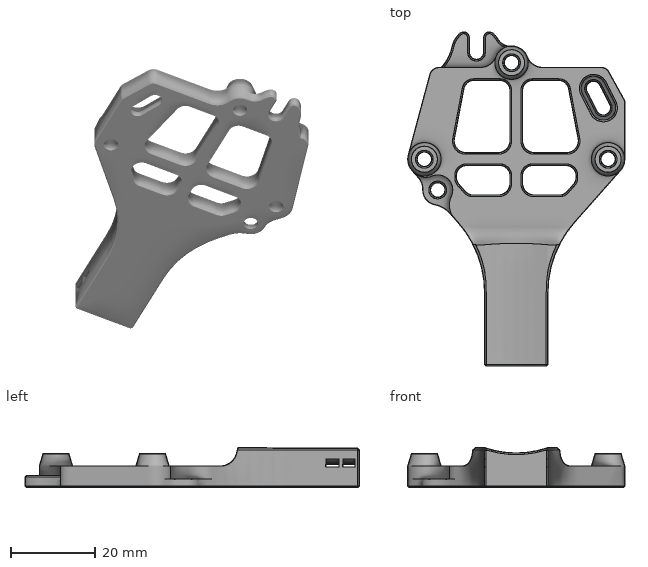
import cadquery as cq
import math

width = 51.6
length = 79.4
beyond_part = 87.35
total_height = 9.45
plate_thickness = 5.1
bottom_chamfer = 0.3
end_chamfer = 0.4
side_chamfer = 0.55
opening_chamfer = 0.4
hole_diameter = 3.4

post_base_radius = 4.0
post_top_radius = 3.1
post_top = 8.0
side_post_x = width / 2 - post_base_radius
side_post_y = 49.15
head_post_x = -1.1
head_post_y = 72.1
post_centres = [(-side_post_x, side_post_y), (side_post_x, side_post_y), (head_post_x, head_post_y)]

plate_top = 71.0
shoulder_angle = math.radians(48.3)
left_edge_angle = math.radians(75)
left_corner_radius = 2.4
right_corner_radius = 2.0
right_bevel_start = 63.05
right_bevel_angle = math.radians(61)
head_fillet = 4.0

handle_width = 15.1
handle_flare_start = 17.5
handle_flare_radius = 25.2
step_y = 28.8
step_lean = math.radians(15)
step_radius = 4.0
grip_sag = 1.3
strap_slot_bottom = 4.85
strap_slot_height = 1.9
strap_slots = [(1.0, 3.9), (4.85, 7.95)]

ear_x = -18.7
ear_y = 41.85
ear_radius = 3.6
ear_thickness = 2.0
ear_upper_fillet = 4.1
ear_lower_fillet = 6.75
recess_upper_round = 4.0
recess_lower_round = 4.8

fork_x = -9.45
fork_radius = 5.95
fork_thickness = 2.85
fork_root_depth = 0.8
fork_tip_radius = 1.35
fork_tip_rise = fork_tip_radius + math.sqrt(
    (fork_radius - fork_tip_radius) ** 2 - (hole_diameter / 2 + fork_tip_radius) ** 2
)
fork_y = length - fork_tip_rise
fork_head_fillet = 3.2
fork_flare_radius = 10.3
fork_flare_angle = math.radians(168)

rib_half_width = 1.5
window_radius = 2.4
window_bottom_radius = 2.8
upper_window_bottom = 50.75
upper_window_top = 67.9
upper_window_bottom_x = 15.3
upper_window_top_x = 12.1
lower_window_bottom = 40.65
lower_window_top = 47.65
lower_window_side_x = 14.2
lower_window_bevel = 2.85

oblique_x = 19.5
oblique_y = 63.7
oblique_travel = 5.2
oblique_angle = -63.0
oblique_recess_width = 5.9
oblique_floor = 2.0


def polar(centre, radius, angle):
    return (centre[0] + radius * math.cos(angle), centre[1] + radius * math.sin(angle))


def round_corner(solid, point, radius):
    """Fillet the upright edge of a solid whose middle lies nearest to a point."""
    edge = solid.edges("|Z").edges(cq.selectors.NearestToPointSelector(point))
    return edge.fillet(radius)


def disc(centre, radius, height):
    return cq.Workplane("XY").center(*centre).circle(radius).extrude(height)


def flared_cutter(profile, bottom, top):
    """Prism of a closed wire drawn at Z = 0, its mouth widened at 45 degrees up to the top."""
    wire = profile.wires().val()
    prism = cq.Workplane("XY").add(wire).toPending().extrude(top - bottom)
    mouth = cq.Workplane("XY").add(wire.offset2D(opening_chamfer)[0]).toPending()
    mouth = mouth.extrude(opening_chamfer, taper=45)
    mouth = mouth.mirror("XY").translate((0, 0, top - bottom))
    return prism.union(mouth).translate((0, 0, bottom))


def window_profile(corners):
    """Closed outline through (x, y, radius) corners, each rounded to its radius."""
    prism = cq.Workplane("XY").polyline([(x, y) for x, y, _ in corners]).close().extrude(plate_thickness)
    for x, y, radius in corners:
        prism = round_corner(prism, (x, y, plate_thickness / 2), radius)
    return prism.faces("<Z")


def make_blank():
    """Full-height prism of the handle and plate outline, with the head boss blended in."""
    half_handle = handle_width / 2
    turn = math.pi / 2 - shoulder_angle
    flare_centre = (half_handle + handle_flare_radius, handle_flare_start)
    flare_middle = polar(flare_centre, handle_flare_radius, math.pi - turn / 2)
    flare_end = polar(flare_centre, handle_flare_radius, math.pi - turn)
    right_post = (side_post_x, side_post_y)
    left_post = (-side_post_x, side_post_y)
    shoulder_end = polar(right_post, post_base_radius, -turn)
    shoulder_middle = polar(right_post, post_base_radius, -turn / 2)
    left_start_angle = math.pi / 2 + left_edge_angle
    left_edge_start = polar(left_post, post_base_radius, left_start_angle)
    left_arc_middle = polar(left_post, post_base_radius, (left_start_angle + math.pi + turn) / 2)
    bevel_x = width / 2 - (plate_top - right_bevel_start) / math.tan(right_bevel_angle)
    left_top_x = left_edge_start[0] + (plate_top - left_edge_start[1]) / math.tan(left_edge_angle)

    def mirrored(point):
        return (-point[0], point[1])

    outline = (
        cq.Workplane("XY")
        .moveTo(-half_handle, 0)
        .lineTo(half_handle, 0)
        .lineTo(half_handle, handle_flare_start)
        .threePointArc(flare_middle, flare_end)
        .lineTo(*shoulder_end)
        .threePointArc(shoulder_middle, (width / 2, side_post_y))
        .lineTo(width / 2, right_bevel_start)
        .lineTo(bevel_x, plate_top)
        .lineTo(left_top_x, plate_top)
        .lineTo(*left_edge_start)
        .threePointArc(left_arc_middle, mirrored(shoulder_end))
        .lineTo(*mirrored(flare_end))
        .threePointArc(mirrored(flare_middle), (-half_handle, handle_flare_start))
        .close()
    )
    blank = outline.extrude(total_height)
    middle = total_height / 2
    blank = round_corner(blank, (bevel_x, plate_top, middle), right_corner_radius)
    blank = round_corner(blank, (left_top_x, plate_top, middle), left_corner_radius)

    blank = blank.union(disc((head_post_x, head_post_y), post_base_radius, total_height))
    reach = math.sqrt(post_base_radius**2 - (head_post_y - plate_top) ** 2)
    for side in (-1, 1):
        blank = round_corner(blank, (head_post_x + side * reach, plate_top, middle), head_fillet)
    return blank


def lower_to_plate(blank):
    """Remove the stock above the plate, leaving a concave step up to the handle."""
    rise = total_height - plate_thickness
    turn = math.pi / 2 - step_lean
    run = rise * math.tan(step_lean) + step_radius * math.tan(turn / 2)
    arc_centre = (step_y + run, plate_thickness + step_radius)
    arc_start = polar(arc_centre, step_radius, math.pi + step_lean)
    arc_middle = polar(arc_centre, step_radius, math.pi + step_lean + turn / 2)
    cutter = (
        cq.Workplane("YZ")
        .moveTo(step_y, total_height)
        .lineTo(*arc_start)
        .threePointArc(arc_middle, (arc_centre[0], plate_thickness))
        .lineTo(beyond_part, plate_thickness)
        .lineTo(beyond_part, total_height)
        .close()
        .extrude(width, both=True)
    )
    lowered = blank.cut(cutter)
    side_edges = lowered.faces(">Z").edges("not(<Y or >Y)")
    return side_edges.chamfer(side_chamfer)


def add_ear(body):
    """Join the thin ear to the left shoulder and clear the plate above it."""
    along = (-math.cos(shoulder_angle), math.sin(shoulder_angle))
    outward = (-math.sin(shoulder_angle), -math.cos(shoulder_angle))
    beyond_post = (ear_x + side_post_x) * outward[0] + (ear_y - side_post_y) * outward[1]
    depth = post_base_radius - beyond_post
    reach = math.sqrt(ear_radius**2 - depth**2)
    foot = (ear_x + depth * outward[0], ear_y + depth * outward[1])
    upper_corner = (foot[0] + reach * along[0], foot[1] + reach * along[1])
    lower_corner = (foot[0] - reach * along[0], foot[1] - reach * along[1])

    ear_disc = disc((ear_x, ear_y), ear_radius, ear_thickness)
    lower_layer = body.intersect(disc((0, 0), beyond_part, ear_thickness)).union(ear_disc)
    lower_layer = round_corner(lower_layer, (*upper_corner, ear_thickness / 2), ear_upper_fillet)
    lower_layer = round_corner(lower_layer, (*lower_corner, ear_thickness / 2), ear_lower_fillet)

    recess = disc((ear_x, ear_y), ear_radius, total_height)
    upper_layer = body.cut(disc((0, 0), beyond_part, ear_thickness)).cut(recess)
    recess_middle = (ear_thickness + plate_thickness) / 2
    upper_layer = round_corner(upper_layer, (*upper_corner, recess_middle), recess_upper_round)
    upper_layer = round_corner(upper_layer, (*lower_corner, recess_middle), recess_lower_round)
    return upper_layer.union(lower_layer)


def make_fork():
    """Slotted disc with a flared left flank, blended into the head boss."""
    fork_centre = (fork_x, fork_y)
    flare_start = polar(fork_centre, fork_radius, fork_flare_angle)
    flare_centre = polar(fork_centre, fork_radius + fork_flare_radius, fork_flare_angle)
    flare_end_angle = math.asin((plate_top - flare_centre[1]) / fork_flare_radius)
    flare_end = polar(flare_centre, fork_flare_radius, flare_end_angle)
    flare_middle_angle = (flare_end_angle + fork_flare_angle - math.pi) / 2
    flare_middle = polar(flare_centre, fork_flare_radius, flare_middle_angle)
    flank = (
        cq.Workplane("XY")
        .moveTo(*flare_start)
        .threePointArc(flare_middle, flare_end)
        .lineTo(flare_end[0], plate_top - fork_root_depth)
        .lineTo(fork_x, plate_top - fork_root_depth)
        .lineTo(*fork_centre)
        .close()
        .extrude(fork_thickness)
    )
    head_centre = (head_post_x, head_post_y)
    fork = disc(fork_centre, fork_radius, fork_thickness).union(flank)
    fork = fork.union(disc(head_centre, post_base_radius, fork_thickness))

    span = math.dist(fork_centre, head_centre)
    direction = math.atan2(head_post_y - fork_y, head_post_x - fork_x)
    to_chord = (span**2 + fork_radius**2 - post_base_radius**2) / (2 * span)
    notch = polar(fork_centre, fork_radius, direction + math.acos(to_chord / fork_radius))
    middle = fork_thickness / 2
    fork = round_corner(fork, (*notch, middle), fork_head_fillet)

    half_slot = hole_diameter / 2
    slot = disc(fork_centre, half_slot, fork_thickness)
    slot = slot.union(
        cq.Workplane("XY")
        .center(fork_x, fork_y + fork_radius / 2)
        .rect(hole_diameter, fork_radius)
        .extrude(fork_thickness)
    )
    fork = fork.cut(slot)
    tip_y = fork_y + math.sqrt(fork_radius**2 - half_slot**2)
    for side in (-1, 1):
        fork = round_corner(fork, (fork_x + side * half_slot, tip_y, middle), fork_tip_radius)
    return fork.faces(">Z").edges().chamfer(opening_chamfer)


def make_post(centre):
    """Cone frustum standing on the plate."""
    return (
        cq.Workplane("XY", origin=(*centre, plate_thickness))
        .circle(post_base_radius)
        .workplane(offset=post_top - plate_thickness)
        .circle(post_top_radius)
        .loft()
    )


def hole_cutter(centre, top):
    """Through hole whose rim is countersunk at the given height."""
    profile = cq.Workplane("XY").circle(hole_diameter / 2)
    return flared_cutter(profile, 0, top).translate((*centre, 0))


def oblique_slot(slot_width, bottom, top):
    """One step of the oblique slot, widened at its upper rim."""
    profile = (
        cq.Workplane("XY")
        .center(oblique_x, oblique_y)
        .slot2D(oblique_travel + slot_width, slot_width, oblique_angle)
    )
    return flared_cutter(profile, bottom, top)


def window_cutters():
    """The two right-hand windows and their mirror images."""
    upper = [
        (rib_half_width, upper_window_bottom, window_bottom_radius),
        (upper_window_bottom_x, upper_window_bottom, window_bottom_radius),
        (upper_window_top_x, upper_window_top, window_radius),
        (rib_half_width, upper_window_top, window_radius),
    ]
    bevel_rise = lower_window_bevel * math.tan(shoulder_angle)
    lower = [
        (rib_half_width, lower_window_bottom, window_bottom_radius),
        (lower_window_side_x - lower_window_bevel, lower_window_bottom, window_radius),
        (lower_window_side_x, lower_window_bottom + bevel_rise, window_radius),
        (lower_window_side_x, lower_window_top, window_radius),
        (rib_half_width, lower_window_top, window_radius),
    ]
    cutters = []
    for corners in (upper, lower):
        cutter = flared_cutter(window_profile(corners), 0, plate_thickness)
        cutters += [cutter, cutter.mirror("YZ")]
    return cutters


def shape_handle(body):
    """Hollow the grip, bevel its end and thread curved strap slots through it."""
    half = handle_width / 2
    groove = (
        cq.Workplane("XZ")
        .moveTo(-half, total_height)
        .threePointArc((0, total_height - grip_sag), (half, total_height))
        .close()
        .extrude(-step_y - step_radius)
    )
    body = body.cut(groove)
    body = body.faces("<Y").edges("not(<Z)").chamfer(end_chamfer)
    slot_top = strap_slot_bottom + strap_slot_height
    for start, end in strap_slots:
        slot = (
            cq.Workplane("XZ", origin=(0, start, 0))
            .moveTo(-half, strap_slot_bottom)
            .threePointArc((0, strap_slot_bottom - grip_sag), (half, strap_slot_bottom))
            .lineTo(half, slot_top)
            .threePointArc((0, slot_top - grip_sag), (-half, slot_top))
            .close()
            .extrude(start - end)
        )
        body = body.cut(slot)
    return body


result = add_ear(lower_to_plate(make_blank())).union(make_fork())
result = shape_handle(result)
result = result.faces("<Z").edges().chamfer(bottom_chamfer)
for post_centre in post_centres:
    result = result.union(make_post(post_centre))
    result = result.cut(hole_cutter(post_centre, post_top))
result = result.cut(hole_cutter((ear_x, ear_y), ear_thickness))
for cutter in window_cutters():
    result = result.cut(cutter)
result = result.cut(oblique_slot(oblique_recess_width, oblique_floor, plate_thickness))
result = result.cut(oblique_slot(hole_diameter, 0, oblique_floor))